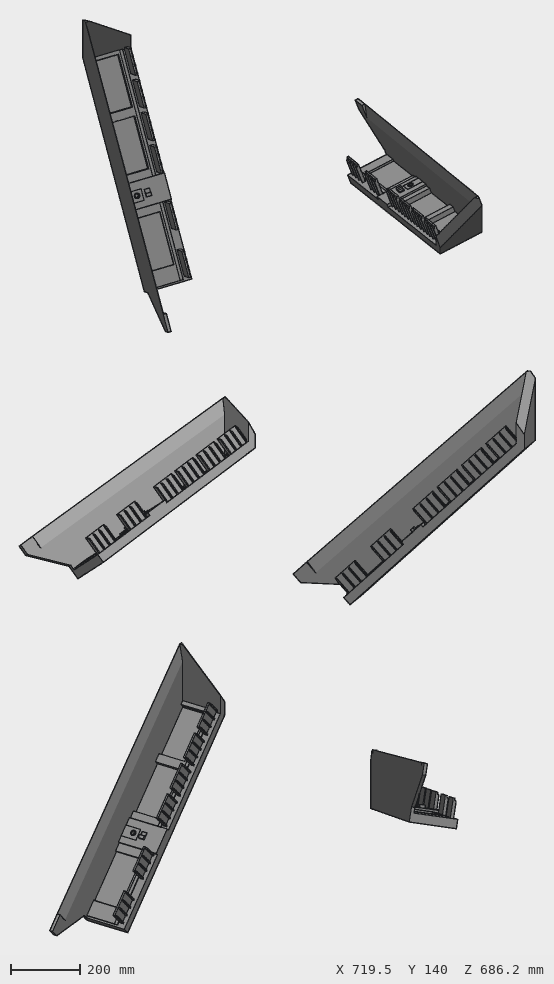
import cadquery as cq
import math

TOTAL_X = 719.48
TOTAL_Y = 140.0
TOTAL_Z = 686.2
SLOPE = math.radians(42.9)
COS = math.cos(SLOPE)
SIN = math.sin(SLOPE)

PANEL_THICK = 10.0
TOE_X = 518.9
NOSE_Z = 32.5
NOSE_END_X = 696.7
BEVEL_END_X = 679.5
BEVEL_DROP = 42.0

WALL_THICK = 24.2
CUT_CORNER_Z = 665.6
CUT_RISE_X = 1.38

FLOOR_THICK = 27.8
LINER_THICK = 3.2
LINER_WIDE_Y = 114.5
LINER_END_GAP = 6.0
DECK_RISE = 0.5
DECK_WIDE_Y = 104.8

POCKETS = [(16.0, 16.0), (202.5, 16.0), (492.4, 6.4)]
POCKET_LENGTH = 160.0
POCKET_WIDE_Y = 99.0

BLOCK_START = 386.0
BLOCK_LENGTH = 80.0
BLOCK_HEIGHT = 9.6

PLATE_START = 411.0
PLATE_LENGTH = 35.0
PLATE_WIDE_Y = 60.5
PLATE_RISE = 0.8
COLLAR_CENTER = (427.5, 43.5)
COLLAR_DIAMETER = 16.49
COLLAR_BORE = 11.66
COLLAR_HEIGHT = 1.5
BORE_DEPTH = 15.0

SWITCH_START = 415.5
SWITCH_STEP = 427.7
SWITCH_END = 438.0
SWITCH_Y = (69.0, 85.0)
SWITCH_LOW_RISE = 3.2
SWITCH_HIGH_RISE = 5.5

ROW_START = 1.0
ROW_PITCH = 99.0
ROW_COUNT = 4
LOWER_BRACKETS = [469.0, 613.6]
BRACKET_LENGTH = 80.0
BRACKET_HEIGHT = 58.8
BRACKET_Y = (120.0, 125.5)
RIB_OUTER_Y = 130.0
RIB_COUNT = 4
RIB_THICK = 4.0
RIB_SETBACK = 4.0

HEEL_Z = TOE_X * math.tan(SLOPE)
FLOOR_LENGTH = TOE_X / COS
NOSE_TIP_Z = NOSE_Z + (TOTAL_X - NOSE_END_X) / math.tan(SLOPE)
BEVEL_END_Z = NOSE_TIP_Z + (TOTAL_X - BEVEL_END_X) * math.tan(SLOPE)

LINER_TOP = FLOOR_THICK + LINER_THICK
DECK_TOP = LINER_TOP + DECK_RISE
BLOCK_TOP = FLOOR_THICK + BLOCK_HEIGHT
PLATE_TOP = BLOCK_TOP + PLATE_RISE
COLLAR_TOP = PLATE_TOP + COLLAR_HEIGHT
SWITCH_LOW = BLOCK_TOP + SWITCH_LOW_RISE
SWITCH_HIGH = SWITCH_LOW + SWITCH_HIGH_RISE
BRACKET_TOP = FLOOR_THICK + BRACKET_HEIGHT
RIB_CHAMFER = RIB_OUTER_Y - BRACKET_Y[1]

FLOOR_PLANE = cq.Plane(origin=(0, 0, HEEL_Z), xDir=(COS, 0, -SIN), normal=(SIN, 0, COS))


def floor_box(along, across, height):
    """Box in the floor axes; each argument is a (low, high) pair."""
    size = [high - low for low, high in (along, across, height)]
    box = cq.Workplane("XY").box(*size, centered=False)
    box = box.translate((along[0], across[0], height[0]))
    return cq.Workplane(box.val().moved(cq.Location(FLOOR_PLANE)))


def floor_cylinder(center, diameter, low, high):
    """Round feature standing square to the floor."""
    base = cq.Workplane(FLOOR_PLANE).workplane(offset=low)
    return base.center(*center).circle(diameter / 2).extrude(high - low)


def extrude_along_y(points, start, end):
    """Prism of an (x, z) outline between two Y positions."""
    plane = cq.Plane(origin=(0, start, 0), xDir=(1, 0, 0), normal=(0, -1, 0))
    return cq.Workplane(plane).polyline(points).close().extrude(start - end)


def side_panel():
    toe_rise = NOSE_Z * math.tan(SLOPE)
    outline = [
        (0, HEEL_Z),
        (TOE_X, 0),
        (TOE_X + toe_rise, NOSE_Z),
        (NOSE_END_X, NOSE_Z),
        (TOTAL_X, NOSE_TIP_Z),
        (BEVEL_END_X, BEVEL_END_Z),
        (WALL_THICK, TOTAL_Z),
        (0, TOTAL_Z),
    ]
    return extrude_along_y(outline, 0, PANEL_THICK).cut(edge_bevel())


def edge_bevel():
    """Wedge that brings the panel's upper edge to a sharp front arris."""
    run = BEVEL_END_X - WALL_THICK
    rise = TOTAL_Z - BEVEL_END_Z
    plane = cq.Plane(
        origin=(BEVEL_END_X, 0, BEVEL_END_Z), xDir=(0, 1, 0), normal=(-run, 0, rise)
    )
    section = [(0, 0), (PANEL_THICK, 0), (PANEL_THICK, BEVEL_DROP)]
    wedge = cq.Workplane(plane).polyline(section).close().extrude(TOTAL_X + TOTAL_Z)
    limit = cq.Workplane("XY").box(TOTAL_X, TOTAL_Y, 2 * TOTAL_Z, centered=False)
    return wedge.intersect(limit.translate((WALL_THICK, 0, 0)))


def end_wall():
    foot_z = HEEL_Z - WALL_THICK * math.tan(SLOPE)
    outline = [(0, HEEL_Z), (WALL_THICK, foot_z), (WALL_THICK, TOTAL_Z), (0, TOTAL_Z)]
    return extrude_along_y(outline, 0, TOTAL_Y)


def oblique_cut():
    """Everything above the sloping plane across the top of the end wall."""
    normal = (-CUT_RISE_X, 1, 1)
    plane = cq.Plane(origin=(0, 0, CUT_CORNER_Z), xDir=(1, CUT_RISE_X, 0), normal=normal)
    half_space = cq.Workplane(plane).rect(2 * TOTAL_Z, 2 * TOTAL_Z).extrude(TOTAL_Z)
    wall_zone = cq.Workplane("XY").box(WALL_THICK, TOTAL_Y, TOTAL_Z, centered=False)
    return half_space.intersect(wall_zone)


def floor():
    top_shift_x = FLOOR_THICK * SIN
    top_shift_z = FLOOR_THICK * COS
    outline = [
        (0, HEEL_Z),
        (TOE_X, 0),
        (TOE_X + top_shift_x, top_shift_z),
        (top_shift_x, HEEL_Z + top_shift_z),
    ]
    board = extrude_along_y(outline, 0, TOTAL_Y)
    liner_along = (0, FLOOR_LENGTH - LINER_END_GAP)
    board = board.union(floor_box(liner_along, (0, LINER_WIDE_Y), (FLOOR_THICK, LINER_TOP)))
    board = board.union(floor_box(liner_along, (0, DECK_WIDE_Y), (LINER_TOP, DECK_TOP)))
    for start, depth in POCKETS:
        along = (start, start + POCKET_LENGTH)
        across = (PANEL_THICK, POCKET_WIDE_Y)
        board = board.cut(floor_box(along, across, (DECK_TOP - depth, DECK_TOP)))
    return board


def control_block():
    along = (BLOCK_START, BLOCK_START + BLOCK_LENGTH)
    block = floor_box(along, (0, TOTAL_Y), (FLOOR_THICK, BLOCK_TOP))
    plate_along = (PLATE_START, PLATE_START + PLATE_LENGTH)
    block = block.union(floor_box(plate_along, (0, PLATE_WIDE_Y), (BLOCK_TOP, PLATE_TOP)))
    block = block.union(floor_box((SWITCH_START, SWITCH_END), SWITCH_Y, (BLOCK_TOP, SWITCH_LOW)))
    block = block.union(floor_box((SWITCH_STEP, SWITCH_END), SWITCH_Y, (SWITCH_LOW, SWITCH_HIGH)))
    return block.union(floor_cylinder(COLLAR_CENTER, COLLAR_DIAMETER, PLATE_TOP, COLLAR_TOP))


def collar_bore():
    return floor_cylinder(COLLAR_CENTER, COLLAR_BORE, COLLAR_TOP - BORE_DEPTH, COLLAR_TOP)


def bracket(start):
    """Upright plate with evenly spaced ribs whose outer top edges are chamfered."""
    height = (FLOOR_THICK, BRACKET_TOP)
    body = floor_box((start, start + BRACKET_LENGTH), BRACKET_Y, height)
    rib_pitch = (BRACKET_LENGTH - RIB_THICK) / (RIB_COUNT - 1)
    rib_top = BRACKET_TOP - RIB_SETBACK
    section = [
        (BRACKET_Y[1], FLOOR_THICK),
        (RIB_OUTER_Y, FLOOR_THICK),
        (RIB_OUTER_Y, rib_top - RIB_CHAMFER),
        (BRACKET_Y[1], rib_top),
    ]
    for index in range(RIB_COUNT):
        rib = cq.Workplane("YZ").polyline(section).close().extrude(RIB_THICK)
        rib = rib.translate((start + index * rib_pitch, 0, 0))
        body = body.union(cq.Workplane(rib.val().moved(cq.Location(FLOOR_PLANE))))
    return body


result = side_panel().union(end_wall()).union(floor()).union(control_block())
upper_brackets = [ROW_START + index * ROW_PITCH for index in range(ROW_COUNT)]
for bracket_start in upper_brackets + LOWER_BRACKETS:
    result = result.union(bracket(bracket_start))
result = result.cut(collar_bore()).cut(oblique_cut())